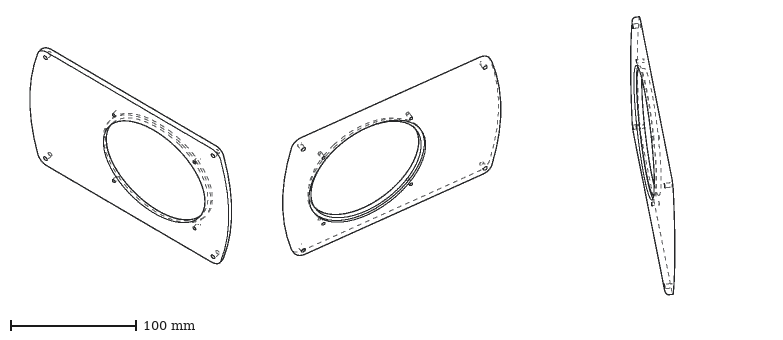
import cadquery as cq
import math

length = 200.0
height = 140.0
thickness = 6.0
back_edge_radius = 3.0

corner_radius = 10.0
corner_center_x = 82.2
corner_center_z = height / 2 - corner_radius

corner_hole_diameter = 3.5
corner_hole_x = 84.2
corner_hole_z = 62.2

opening_diameter = 102.0
opening_x = 25.0
recess_diameter = 108.0
recess_depth = 2.0
mount_hole_diameter = 2.8
mount_hole_spacing = 81.2

end_inset = length / 2 - corner_center_x
end_radius = (end_inset**2 + corner_center_z**2 - corner_radius**2) / (2 * (end_inset - corner_radius))
blend_angle = math.asin(corner_center_z / (end_radius - corner_radius))


def corner_point(angle):
    """Point on the upper right corner arc, at an angle above the X axis."""
    return (
        corner_center_x + corner_radius * math.cos(angle),
        corner_center_z + corner_radius * math.sin(angle),
    )


def make_plate():
    """Flat plate with straight top and bottom, rounded corners and bowed ends."""
    top_x, top_z = corner_point(math.pi / 2)
    mid_x, mid_z = corner_point((math.pi / 2 + blend_angle) / 2)
    blend_x, blend_z = corner_point(blend_angle)
    return (
        cq.Workplane("XZ", origin=(0, thickness / 2, 0))
        .moveTo(-top_x, top_z)
        .lineTo(top_x, top_z)
        .threePointArc((mid_x, mid_z), (blend_x, blend_z))
        .threePointArc((length / 2, 0), (blend_x, -blend_z))
        .threePointArc((mid_x, -mid_z), (top_x, -top_z))
        .lineTo(-top_x, -top_z)
        .threePointArc((-mid_x, -mid_z), (-blend_x, -blend_z))
        .threePointArc((-length / 2, 0), (-blend_x, blend_z))
        .threePointArc((-mid_x, mid_z), (-top_x, top_z))
        .close()
        .extrude(thickness)
    )


def back_cylinders(points, diameter, depth):
    """Cutters reaching a depth in from the back face at the given X, Z points."""
    return (
        cq.Workplane("XZ", origin=(0, thickness / 2, 0))
        .pushPoints(points)
        .circle(diameter / 2)
        .extrude(depth)
    )


def rectangle_points(center_x, half_width, half_height):
    """Corners of a rectangle centred on the X axis."""
    return [
        (center_x + side * half_width, level * half_height)
        for side in (-1, 1)
        for level in (-1, 1)
    ]


corner_holes = rectangle_points(0, corner_hole_x, corner_hole_z)
mount_holes = rectangle_points(opening_x, mount_hole_spacing / 2, mount_hole_spacing / 2)

result = (
    make_plate()
    .faces(">Y")
    .edges()
    .fillet(back_edge_radius)
    .cut(back_cylinders([(opening_x, 0)], opening_diameter, thickness))
    .cut(back_cylinders([(opening_x, 0)], recess_diameter, recess_depth))
    .cut(back_cylinders(corner_holes, corner_hole_diameter, thickness))
    .cut(back_cylinders(mount_holes, mount_hole_diameter, thickness))
)